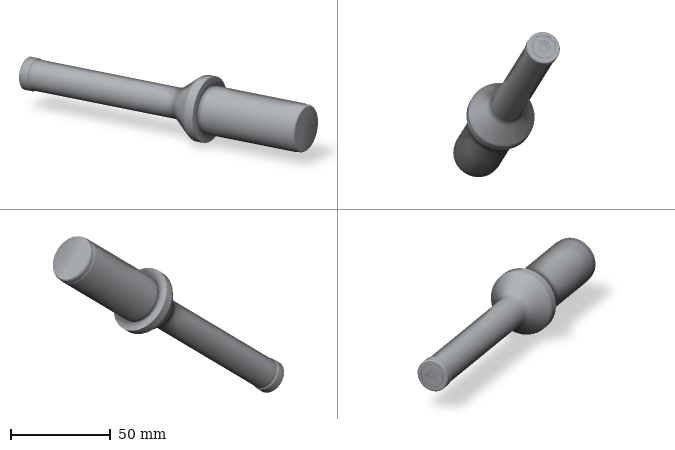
import cadquery as cq


total_length = 163.0
head_length = 5.5
head_edge_chamfer = 0.5
shank_end = 88.2
cone_start = 91.5
cone_end = 101.2
flange_front = 102.7
flange_back = 106.8
neck_length = 1.1
neck_taper_length = 1.0
end_step_length = 3.0
end_taper_length = 1.0
end_round_length = 1.5
end_round_drop = 0.7

shank_radius = 16.0 / 2
head_radius = 17.0 / 2
cone_start_radius = 9.1
flange_radius = 34.0 / 2
flange_edge_drop = 0.5
handle_radius = 25.0 / 2
step_radius = 24.5 / 2

groove_outer_radius = 6.5
groove_inner_radius = 5.5
groove_depth = 0.3
counterbore_radius = 3.7
counterbore_depth = 0.3
centre_hole_radius = 2.8
centre_hole_depth = 0.7


def revolve_about_axis(profile):
    """Turn a closed XY outline into a solid of revolution about X."""
    return profile.close().revolve(360, (0, 0, 0), (1, 0, 0))


def face_disc(radius, depth):
    """Cylinder reaching from the front face into the head."""
    return cq.Workplane("YZ").circle(radius).extrude(depth)


def make_head():
    """Slightly enlarged front disc with chamfered edges and recessed rings."""
    blank = revolve_about_axis(
        cq.Workplane("XY")
        .lineTo(0, head_radius - head_edge_chamfer)
        .lineTo(head_edge_chamfer, head_radius)
        .lineTo(head_length - head_edge_chamfer, head_radius)
        .lineTo(head_length, head_radius - head_edge_chamfer)
        .lineTo(head_length, 0)
    )
    groove = face_disc(groove_outer_radius, groove_depth).cut(
        face_disc(groove_inner_radius, groove_depth)
    )
    counterbore = face_disc(counterbore_radius, counterbore_depth)
    centre_hole = face_disc(centre_hole_radius, centre_hole_depth)
    return blank.cut(groove).cut(counterbore).cut(centre_hole)


def make_holder():
    """Shank, flared collar and cylindrical handle in one piece."""
    neck_end = flange_back + neck_length
    end_step_start = total_length - end_step_length
    return revolve_about_axis(
        cq.Workplane("XY")
        .moveTo(head_length, 0)
        .lineTo(head_length, shank_radius)
        .lineTo(shank_end, shank_radius)
        .tangentArcPoint((cone_start, cone_start_radius), relative=False)
        .lineTo(cone_end, flange_radius - flange_edge_drop)
        .tangentArcPoint((flange_front, flange_radius), relative=False)
        .lineTo(flange_back, flange_radius)
        .lineTo(flange_back, step_radius)
        .lineTo(neck_end, step_radius)
        .lineTo(neck_end + neck_taper_length, handle_radius)
        .lineTo(end_step_start - end_taper_length, handle_radius)
        .lineTo(end_step_start, step_radius)
        .lineTo(total_length - end_round_length, step_radius)
        .tangentArcPoint((total_length, step_radius - end_round_drop), relative=False)
        .lineTo(total_length, 0)
    )


head = make_head()
holder = make_holder()

result = cq.Compound.makeCompound([head.val(), holder.val()])